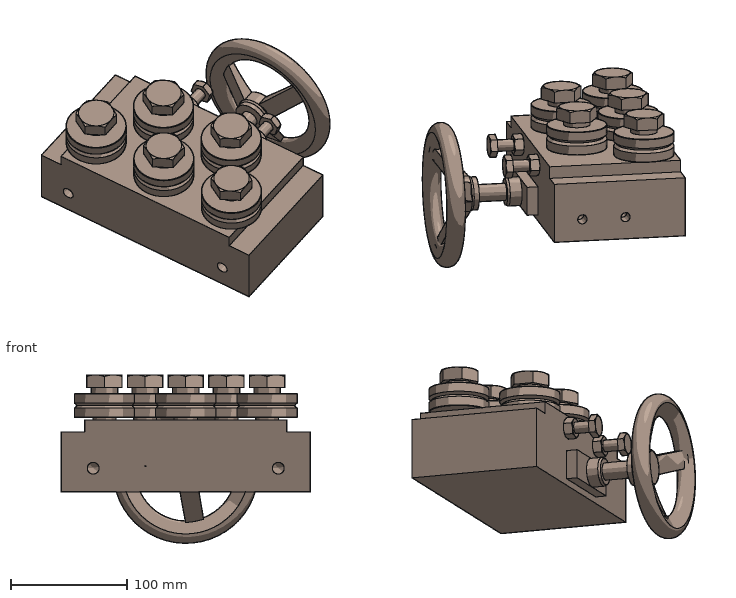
import cadquery as cq
import math

BLOCK_LENGTH = 215.0
BLOCK_DEPTH = 115.0
BLOCK_TOP = 62.1
SHOULDER_TOP = 51.8
SLIDE_WIDTH = 174.2

DRILL_POINT_ANGLE = 118.0
FRONT_HOLE_DIAMETER = 10.0
FRONT_HOLE_DEPTH = 20.0
FRONT_HOLE_X = 79.8
FRONT_HOLE_Z = 20.5
SIDE_HOLE_DIAMETER = 8.0
SIDE_HOLE_DEPTH = 15.0
SIDE_HOLE_YS = (52.5, 90.3)
SIDE_HOLE_Z = 19.4

ROLLER_DIAMETER = 52.0
ROLLER_PITCH = 70.0
FRONT_ROW_Y = 29.0
BACK_ROW_Y = FRONT_ROW_Y + ROLLER_DIAMETER
ROLLER_BOTTOM = 64.0
ROLLER_TOP = 84.7
ROLLER_CHAMFER = 0.5
GROOVE_WIDTH = 4.5
GROOVE_DEPTH = 2.4
SPACER_DIAMETER = 20.0
NECK_DIAMETER = 23.0
HEAD_BOTTOM = 89.9
HEAD_TOP = 100.8
HEAD_ACROSS_FLATS = 30.5
HEAD_TURN = 30.0

CLAMP_SCREW_X = ROLLER_PITCH / 2
CLAMP_SCREW_Z = 50.3
CLAMP_SCREW_DIAMETER = 10.0
CLAMP_HEX_TURN = -15.0
CLAMP_HEAD_ACROSS_FLATS = 17.2
CLAMP_HEAD_START = 138.5
CLAMP_HEAD_END = 144.7
LOCK_NUT_ACROSS_FLATS = 16.1
LOCK_NUT_END = 123.5

HEX_HALF_SECTOR = math.radians(30)
HEX_CHAMFER_ANGLE = math.radians(30)

SPINDLE_Z = 18.3
SPINDLE_DIAMETER = 15.0
COLLAR_DIAMETER = 25.0
COLLAR_TIP_DIAMETER = 23.0
COLLAR_CONE_START = 135.0
COLLAR_END = 137.2
PLATE_END = 124.7
PLATE_WIDTH = 2 * CLAMP_SCREW_X
PLATE_HEIGHT = COLLAR_DIAMETER

FLANGE_DIAMETER = 28.8
FLANGE_START = 162.5
FLANGE_RIM_END = 167.0
HUB_DIAMETER = 31.0
HUB_START = 169.0
HUB_END = 181.5
HUB_CHAMFER = 1.3
RIM_CENTRE_RADIUS = 109.0 / 2
RIM_SECTION_RADIUS = 8.2
RIM_BACK = 199.0
RIM_CENTRE_Y = RIM_BACK - RIM_SECTION_RADIUS
RIM_INNER_RADIUS = 43.2
RIM_LIP_RADIUS = 46.2
RIM_LIP_HALF_WIDTH = 4.3
SPOKE_ANGLES = (40.0, 160.0, 280.0)
SPOKE_ROOT_RADIUS = 14.0
SPOKE_TIP_RADIUS = 48.4
SPOKE_ROOT_WIDTH = 16.5
SPOKE_TIP_WIDTH = 16.0
SPOKE_FRONT_SLOPE = 0.62
SPOKE_BACK_ROOT_Y = 180.2
SPOKE_BACK_MIDDLE = (30.0, 186.8)
SPOKE_BACK_TIP_Y = 196.3


def revolve_profile(points):
    """Revolve a closed (radius, height) outline about the Z axis."""
    return cq.Workplane("XZ").polyline(points).close().revolve(360, (0, 0), (0, 1))


def cylinder(diameter, bottom, top):
    return cq.Workplane("XY").workplane(offset=bottom).circle(diameter / 2).extrude(top - bottom)


def point_along_y(shape, x, z):
    """Turn a shape built along +Z to point along +Y, with its axis through (x, z)."""
    return shape.rotate((0, 0, 0), (1, 0, 0), -90).translate((x, 0, z))


def hexagon(across_flats, bottom, top, turn, chamfer_bottom=False):
    """Hexagonal prism along Z whose corners are chamfered down to the flats circle."""
    flat_radius = across_flats / 2
    corner_radius = flat_radius / math.cos(HEX_HALF_SECTOR)
    drop = (corner_radius - flat_radius) * math.tan(HEX_CHAMFER_ANGLE)
    prism = cq.Workplane("XY").workplane(offset=bottom).polygon(6, 2 * corner_radius).extrude(top - bottom)
    outline = [(0, bottom)]
    if chamfer_bottom:
        outline += [(flat_radius, bottom), (corner_radius, bottom + drop)]
    else:
        outline += [(corner_radius, bottom)]
    outline += [(corner_radius, top - drop), (flat_radius, top), (0, top)]
    return prism.rotate((0, 0, 0), (0, 0, 1), turn).intersect(revolve_profile(outline))


def drill(diameter, depth):
    """Blind hole along +Z from the origin, with a conical bottom."""
    radius = diameter / 2
    point_length = radius / math.tan(math.radians(DRILL_POINT_ANGLE / 2))
    return revolve_profile([(0, 0), (radius, 0), (radius, depth), (0, depth + point_length)])


def make_block():
    base = cq.Workplane("XY").box(BLOCK_LENGTH, BLOCK_DEPTH, SHOULDER_TOP, centered=(True, False, False))
    slide = cq.Workplane("XY").box(SLIDE_WIDTH, BLOCK_DEPTH, BLOCK_TOP, centered=(True, False, False))
    block = base.union(slide)
    for x in (-FRONT_HOLE_X, FRONT_HOLE_X):
        block = block.cut(point_along_y(drill(FRONT_HOLE_DIAMETER, FRONT_HOLE_DEPTH), x, FRONT_HOLE_Z))
    side_drill = drill(SIDE_HOLE_DIAMETER, SIDE_HOLE_DEPTH).rotate((0, 0, 0), (0, 1, 0), 90)
    for y in SIDE_HOLE_YS:
        block = block.cut(side_drill.translate((-BLOCK_LENGTH / 2, y, SIDE_HOLE_Z)))
    return block


def make_roller():
    """Roller with a V groove, its spacer below and its bolt above, on the Z axis."""
    radius = ROLLER_DIAMETER / 2
    groove_z = (ROLLER_BOTTOM + ROLLER_TOP) / 2
    wheel = revolve_profile([
        (0, ROLLER_BOTTOM),
        (radius - ROLLER_CHAMFER, ROLLER_BOTTOM),
        (radius, ROLLER_BOTTOM + ROLLER_CHAMFER),
        (radius, groove_z - GROOVE_WIDTH / 2),
        (radius - GROOVE_DEPTH, groove_z),
        (radius, groove_z + GROOVE_WIDTH / 2),
        (radius, ROLLER_TOP - ROLLER_CHAMFER),
        (radius - ROLLER_CHAMFER, ROLLER_TOP),
        (0, ROLLER_TOP),
    ])
    spacer = cylinder(SPACER_DIAMETER, BLOCK_TOP, ROLLER_BOTTOM)
    neck = cylinder(NECK_DIAMETER, ROLLER_TOP, HEAD_BOTTOM)
    head = hexagon(HEAD_ACROSS_FLATS, HEAD_BOTTOM, HEAD_TOP, HEAD_TURN)
    return wheel.union(spacer).union(neck).union(head)


def make_clamp_screw():
    """Screw and lock nut along Z, starting at the back face of the block."""
    nut = hexagon(LOCK_NUT_ACROSS_FLATS, BLOCK_DEPTH, LOCK_NUT_END, CLAMP_HEX_TURN, chamfer_bottom=True)
    shank = cylinder(CLAMP_SCREW_DIAMETER, BLOCK_DEPTH, CLAMP_HEAD_START)
    head = hexagon(CLAMP_HEAD_ACROSS_FLATS, CLAMP_HEAD_START, CLAMP_HEAD_END, CLAMP_HEX_TURN)
    return nut.union(shank).union(head)


def make_spindle():
    """Bearing plate, stepped collar and spindle along Z."""
    plate = cq.Workplane("XY").workplane(offset=BLOCK_DEPTH).rect(PLATE_WIDTH, PLATE_HEIGHT)
    plate = plate.extrude(PLATE_END - BLOCK_DEPTH)
    collar = revolve_profile([
        (0, PLATE_END),
        (COLLAR_DIAMETER / 2, PLATE_END),
        (COLLAR_DIAMETER / 2, COLLAR_CONE_START),
        (COLLAR_TIP_DIAMETER / 2, COLLAR_END),
        (0, COLLAR_END),
    ])
    return plate.union(collar).union(cylinder(SPINDLE_DIAMETER, COLLAR_END, FLANGE_START))


def make_hub():
    hub_radius = HUB_DIAMETER / 2
    return revolve_profile([
        (0, FLANGE_START),
        (FLANGE_DIAMETER / 2, FLANGE_START),
        (FLANGE_DIAMETER / 2, FLANGE_RIM_END),
        (hub_radius, HUB_START),
        (hub_radius, HUB_END - HUB_CHAMFER),
        (hub_radius - HUB_CHAMFER, HUB_END),
        (0, HUB_END),
    ])


def make_rim():
    """Rim section: half circle outside, tapering to a small rounded lip inside."""
    front = RIM_CENTRE_Y - RIM_SECTION_RADIUS
    section = (
        cq.Workplane("XZ")
        .moveTo(RIM_CENTRE_RADIUS, front)
        .threePointArc((RIM_CENTRE_RADIUS + RIM_SECTION_RADIUS, RIM_CENTRE_Y), (RIM_CENTRE_RADIUS, RIM_BACK))
        .lineTo(RIM_LIP_RADIUS, RIM_CENTRE_Y + RIM_LIP_HALF_WIDTH)
        .threePointArc(
            (RIM_INNER_RADIUS, RIM_CENTRE_Y),
            (RIM_LIP_RADIUS, RIM_CENTRE_Y - RIM_LIP_HALF_WIDTH),
        )
        .close()
    )
    return section.revolve(360, (0, 0), (0, 1))


def make_spoke():
    """Spoke along +X: a dished side outline trimmed to a tapering width."""
    front_tip = HUB_START + SPOKE_FRONT_SLOPE * (SPOKE_TIP_RADIUS - SPOKE_ROOT_RADIUS)
    side = (
        cq.Workplane("XZ")
        .moveTo(0, HUB_START)
        .lineTo(SPOKE_ROOT_RADIUS, HUB_START)
        .lineTo(SPOKE_TIP_RADIUS, front_tip)
        .lineTo(SPOKE_TIP_RADIUS, SPOKE_BACK_TIP_Y)
        .threePointArc(SPOKE_BACK_MIDDLE, (SPOKE_ROOT_RADIUS, SPOKE_BACK_ROOT_Y))
        .lineTo(0, SPOKE_BACK_ROOT_Y)
        .close()
        .extrude(SPOKE_ROOT_WIDTH, both=True)
    )
    taper = (
        cq.Workplane("XY")
        .moveTo(0, -SPOKE_ROOT_WIDTH / 2)
        .lineTo(SPOKE_TIP_RADIUS, -SPOKE_TIP_WIDTH / 2)
        .lineTo(SPOKE_TIP_RADIUS, SPOKE_TIP_WIDTH / 2)
        .lineTo(0, SPOKE_ROOT_WIDTH / 2)
        .close()
        .extrude(RIM_BACK)
    )
    return side.intersect(taper)


def make_handwheel():
    wheel = make_hub().union(make_rim())
    spoke = make_spoke()
    for angle in SPOKE_ANGLES:
        wheel = wheel.union(spoke.rotate((0, 0, 0), (0, 0, 1), -angle))
    return wheel


result = make_block()

roller = make_roller()
for x in (-ROLLER_PITCH, 0, ROLLER_PITCH):
    result = result.union(roller.translate((x, FRONT_ROW_Y, 0)))
for x in (-ROLLER_PITCH / 2, ROLLER_PITCH / 2):
    result = result.union(roller.translate((x, BACK_ROW_Y, 0)))

clamp_screw = make_clamp_screw()
for x in (-CLAMP_SCREW_X, CLAMP_SCREW_X):
    result = result.union(point_along_y(clamp_screw, x, CLAMP_SCREW_Z))

drive = make_spindle().union(make_handwheel())
result = result.union(point_along_y(drive, 0, SPINDLE_Z))